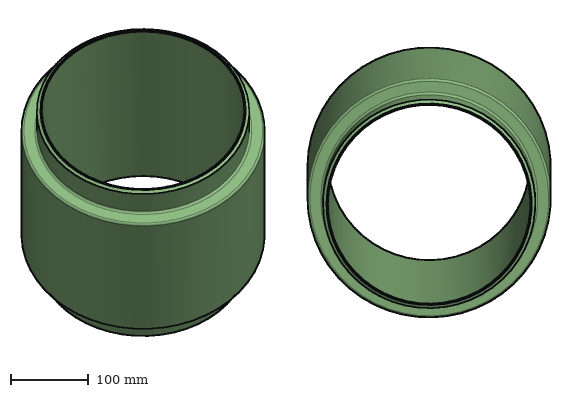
import cadquery as cq

total_length = 295.0
body_length = 215.0
body_diameter = 313.0
neck_diameter = 273.0
bore_diameter = 260.0
body_edge_radius = 3.0
neck_root_radius = 3.0
end_land_width = 2.0
end_bevel_height = 2.5

body_radius = body_diameter / 2
neck_radius = neck_diameter / 2
bore_radius = bore_diameter / 2
half_length = total_length / 2
half_body = body_length / 2
land_radius = bore_radius + end_land_width
bevel_base = half_length - end_bevel_height
body_edge_base = half_body - body_edge_radius
root_top = half_body + neck_root_radius


def wall_section():
    """Wall section in the XZ plane on the -X side, traced from the bottom end to the top end."""
    return (
        cq.Workplane("XZ")
        .moveTo(-bore_radius, -half_length)
        .lineTo(-land_radius, -half_length)
        .lineTo(-neck_radius, -bevel_base)
        .lineTo(-neck_radius, -root_top)
        .radiusArc((-neck_radius - neck_root_radius, -half_body), -neck_root_radius)
        .lineTo(-body_radius + body_edge_radius, -half_body)
        .radiusArc((-body_radius, -body_edge_base), body_edge_radius)
        .lineTo(-body_radius, body_edge_base)
        .radiusArc((-body_radius + body_edge_radius, half_body), body_edge_radius)
        .lineTo(-neck_radius - neck_root_radius, half_body)
        .radiusArc((-neck_radius, root_top), -neck_root_radius)
        .lineTo(-neck_radius, bevel_base)
        .lineTo(-land_radius, half_length)
        .lineTo(-bore_radius, half_length)
        .close()
    )


full_turn = 360
result = wall_section().revolve(full_turn, (0, 0, 0), (0, 1, 0))